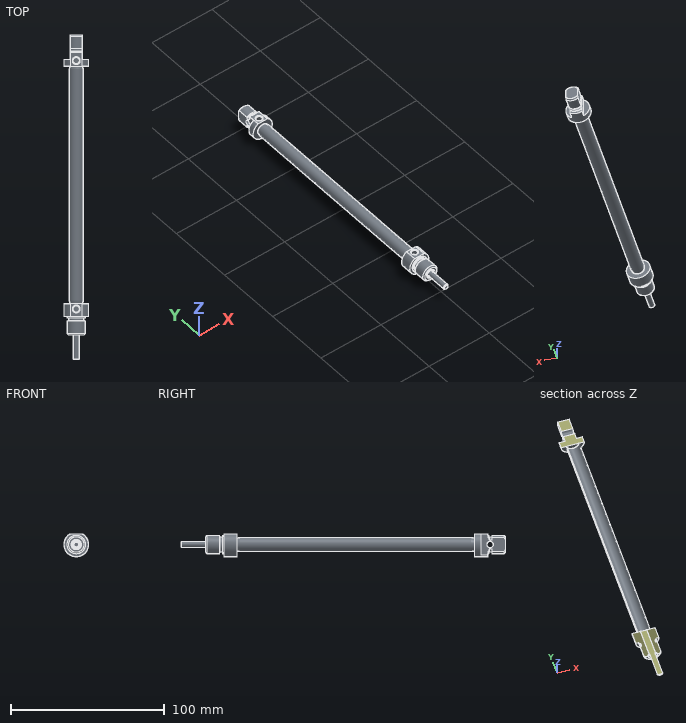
import cadquery as cq


total_length = 211.0
rod_projection = 16.0
thread_length = 9.0
groove_width = 2.1
rear_flange_length = 8.9
front_flange_length = 8.5
rear_collar_length = 0.4
front_collar_length = 0.9
crimp_length = 1.9

rear_flange_start = thread_length + groove_width + rear_collar_length
rear_flange_end = rear_flange_start + rear_flange_length
front_nose_end = total_length - rod_projection
front_groove_start = front_nose_end - thread_length - groove_width
front_flange_end = front_groove_start - front_collar_length
front_flange_start = front_flange_end - front_flange_length

flange_diameter = 16.0
flange_flat_height = 7.0
thread_diameter = 12.0
groove_diameter = 10.0
thread_chamfer = 1.0
thread_end_diameter = thread_diameter - 2 * thread_chamfer
groove_ramp_length = 0.5

tube_diameter = 9.27
tube_bore = 8.0
crimp_diameter = 8.6

rod_diameter = 4.0
rod_tip_diameter = 3.0
rod_tip_chamfer = 0.5
wiper_mouth_diameter = 6.7
wiper_floor_diameter = 5.7
wiper_recess_depth = 1.0
rod_bore_mouth_diameter = 4.7
rod_bore_chamfer = (rod_bore_mouth_diameter - rod_diameter) / 2

tang_thickness = 8.0
tang_flat_length = 15.9
hinge_hole_diameter = 4.0
hinge_hole_distance = 10.1

port_diameter = 4.13
port_mouth_diameter = 5.15
port_chamfer = (port_mouth_diameter - port_diameter) / 2
port_core_diameter = 6.5
rear_port_distance = 16.7
front_port_distance = 178.0


def revolve(profile):
    """Turn (distance, diameter) pairs into a solid of revolution about the Y axis."""
    points = [(diameter / 2, -distance) for distance, diameter in profile]
    closed = [(0, points[0][1]), *points, (0, points[-1][1])]
    return cq.Workplane("XY").polyline(closed).close().revolve(360, (0, 0, 0), (0, 1, 0))


def cylinder(diameter, start, end):
    """Solid cylinder on the axis between two distances."""
    return revolve([(start, diameter), (end, diameter)])


def cut_flange_flat(body):
    """Plane off the top of a flange."""
    cutter_span = 2.5 * total_length
    flat_cutter = (
        cq.Workplane("XY")
        .box(2 * flange_diameter, cutter_span, flange_diameter, centered=(True, True, False))
        .translate((0, 0, flange_flat_height))
    )
    return body.cut(flat_cutter)


def port_cutter(distance):
    """Chamfered vertical port that ends on a round core around the cylinder axis."""
    drill = (
        cq.Workplane("XZ", origin=(0, -distance, 0))
        .polyline([
            (0, 0),
            (port_diameter / 2, 0),
            (port_diameter / 2, flange_flat_height - port_chamfer),
            (port_mouth_diameter / 2, flange_flat_height),
            (0, flange_flat_height),
        ])
        .close()
        .revolve(360, (0, 0, 0), (0, 1, 0))
    )
    core = cylinder(port_core_diameter, distance - port_diameter, distance + port_diameter)
    return drill.cut(core)


def make_rear_cap():
    """Rear flange with an air port and a threaded tang, flattened on both sides for the hinge."""
    cap = revolve([
        (0, thread_end_diameter),
        (thread_chamfer, thread_diameter),
        (thread_length, thread_diameter),
        (thread_length, groove_diameter),
        (thread_length + groove_width - groove_ramp_length, groove_diameter),
        (thread_length + groove_width, thread_diameter),
        (rear_flange_start, thread_diameter),
        (rear_flange_start, flange_diameter),
        (rear_flange_end, flange_diameter),
    ])
    cap = cut_flange_flat(cap)
    for side in (-1, 1):
        flat_cutter = cq.Workplane("XY").box(
            flange_diameter, 2 * tang_flat_length, 2 * flange_diameter
        ).translate((side * (tang_thickness + flange_diameter) / 2, 0, 0))
        cap = cap.cut(flat_cutter)
    hinge_hole = (
        cq.Workplane("YZ")
        .center(-hinge_hole_distance, 0)
        .circle(hinge_hole_diameter / 2)
        .extrude(flange_diameter, both=True)
    )
    return cap.cut(hinge_hole).cut(port_cutter(rear_port_distance))


def make_front_cap():
    """Front flange with an air port and a threaded nose, bored for the piston rod."""
    thread_start = front_groove_start + groove_width
    cap = revolve([
        (front_flange_start, flange_diameter),
        (front_flange_end, flange_diameter),
        (front_flange_end, thread_diameter),
        (front_groove_start, thread_diameter),
        (front_groove_start, groove_diameter),
        (thread_start - groove_ramp_length, groove_diameter),
        (thread_start, thread_diameter),
        (front_nose_end - thread_chamfer, thread_diameter),
        (front_nose_end, thread_end_diameter),
    ])
    cap = cut_flange_flat(cap)
    recess_floor = front_nose_end - wiper_recess_depth
    rod_opening = revolve([
        (front_flange_start, rod_diameter),
        (recess_floor - rod_bore_chamfer, rod_diameter),
        (recess_floor, rod_bore_mouth_diameter),
        (recess_floor, wiper_floor_diameter),
        (front_nose_end, wiper_mouth_diameter),
    ])
    return cap.cut(rod_opening).cut(port_cutter(front_port_distance))


def make_tube():
    """Barrel between the flanges, tapered at both ends."""
    outside = revolve([
        (rear_flange_end, crimp_diameter),
        (rear_flange_end + crimp_length, tube_diameter),
        (front_flange_start - crimp_length, tube_diameter),
        (front_flange_start, crimp_diameter),
    ])
    return outside.cut(cylinder(tube_bore, rear_flange_end, front_flange_start))


def make_piston_rod():
    """Rod from the inner face of the front cap to its chamfered tip."""
    return revolve([
        (front_flange_start, rod_diameter),
        (total_length - rod_tip_chamfer, rod_diameter),
        (total_length, rod_tip_diameter),
    ])


rear_cap = make_rear_cap()
tube = make_tube()
front_cap = make_front_cap()
piston_rod = make_piston_rod()

result = cq.Compound.makeCompound([rear_cap.val(), tube.val(), front_cap.val(), piston_rod.val()])